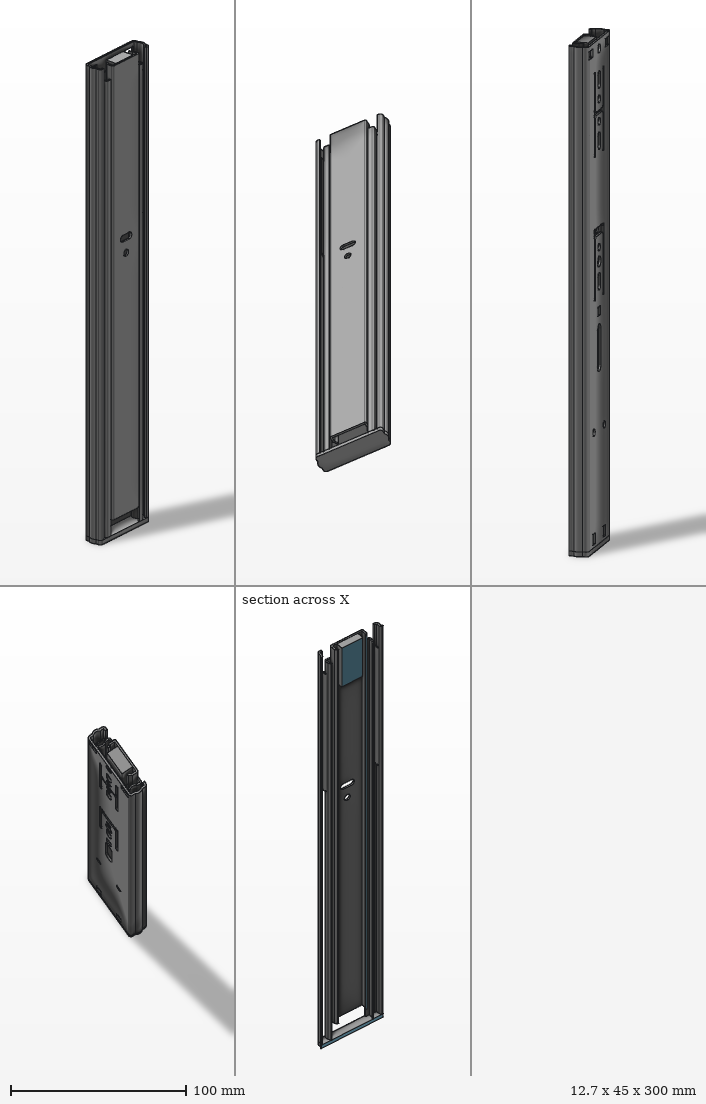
import cadquery as cq
import math

LENGTH = 300.0
WIDTH = 45.0
OUTER_DEPTH = 12.0
INNER_PROUD = 0.7
DEPTH = OUTER_DEPTH + INNER_PROUD
X_BACK = -DEPTH / 2
X_FRONT = DEPTH / 2

TRACK_START = -2.85
TRACK_END = 2.0
LIP_X = X_BACK + OUTER_DEPTH

BEND_SETBACK = 1 - math.sqrt(0.5)

CAP_HEIGHT = 2.85

OUTER_SHEET = 1.35
OUTER_BEND = 1.8
OUTER_TRACK_RISE = 1.0
OUTER_HALF = WIDTH / 2 - OUTER_TRACK_RISE
OUTER_LIP_END = 18.5

CAGE_SHEET = 0.75
CAGE_FRONT = 3.5
CAGE_HALF = 19.05
CAGE_BOTTOM = 195.0
CAGE_TOP = 285.0

MIDDLE_SHEET = 1.05
MIDDLE_BEND = 1.2
MIDDLE_BACK = X_BACK + OUTER_SHEET + CAGE_SHEET
MIDDLE_HALF = 16.35
MIDDLE_TRACK_RISE = -1.2
MIDDLE_LIP_END = 12.5
MIDDLE_TOP = 291.0

INNER_SHEET = 1.2
INNER_HALF = 11.7
INNER_FLANGE_TIP = 0.0
INNER_TRACK_DROP = 1.2
INNER_TRACK_SAG = 0.25
INNER_CORNER = 1.0
INNER_BOTTOM = 12.5
INNER_TOP = 299.0

LATCH_TOP = INNER_TOP
LATCH_HEIGHT = 30.0
LATCH_BACK = -2.25
LATCH_WIDTH = 15.0

TAB_SLIT_INNER = 7.0
TAB_SLIT_OUTER = 9.3
TAB_SLIT_FLOOR = 7.8
UPPER_TAB_Z = 257.0
UPPER_TAB_LENGTH = 49.8
UPPER_BAR_HEIGHT = 2.0
LOWER_TAB_TOP = 189.5
LOWER_TAB_LENGTH = 42.0
LOWER_BAR_HEIGHT = 4.8
TAB_CHAMFER = 1.0

SCREW_DIAMETER = 4.5
SCREW_SLOT_LENGTH = 10.2
TOP_HOLE_DIAMETER = 5.0
UPPER_SCREW_CENTRE = 258.0
UPPER_SCREW_OFFSET = 6.5
UPPER_SLOT_OFFSET = 18.0
TOP_HOLE_Z = 294.3
LOWER_SLOT_Z = 157.2
LOCATING_DIAMETER = 6.3
LOCATING_Z = 169.0
LONG_SLOT_Z = 118.2
LONG_SLOT_LENGTH = 28.0

ACCESS_DIAMETER = 4.2
ACCESS_Z = 177.3
ACCESS_SLOT_Z = 187.2
ACCESS_SLOT_WIDTH = 10.0
ACCESS_SLOT_HEIGHT = 4.2

SIDE_HOLE_Y = 10.0
SIDE_HOLE_Z = 70.5
FOOT_WINDOW_WIDTH = 4.5
FOOT_WINDOW_HEIGHT = 6.3
FOOT_WINDOW_Z = 7.8
HEAD_WINDOW_INNER = 12.3
HEAD_WINDOW_OUTER = 19.5
HEAD_WINDOW_BOTTOM = 292.2
HEAD_WINDOW_TOP = 297.0

STOP_WIDTH = 4.5
STOP_BOTTOM = 137.0
STOP_TOP = 142.5
STOP_INNER_TOP = 140.7


def box(x_min, x_max, y_min, y_max, z_min, z_max):
    """Box between the given limits."""
    return cq.Workplane("XY").box(
        x_max - x_min, y_max - y_min, z_max - z_min, centered=False
    ).translate((x_min, y_min, z_min))


def hole(x_min, x_max, y, z, diameter):
    """Cylinder along X used to drill the webs."""
    return (
        cq.Workplane("YZ", origin=(x_min, y, z))
        .circle(diameter / 2)
        .extrude(x_max - x_min)
    )


def slot(x_min, x_max, z, length, width, angle):
    """Round-ended slot cutter on the centre plane: angle 90 is upright, 0 is crosswise."""
    return (
        cq.Workplane("YZ", origin=(x_min, 0, z))
        .slot2D(length, width, angle)
        .extrude(x_max - x_min)
    )


def flange_outline(back, half, bend, rise):
    """Start the outer outline of one half of a C-channel, from the centre plane to the lip."""
    middle = (TRACK_START + TRACK_END) / 2
    sag = bend * BEND_SETBACK
    return (
        cq.Workplane("XY")
        .moveTo(back, 0)
        .lineTo(back, half - bend)
        .threePointArc((back + sag, half - sag), (back + bend, half))
        .lineTo(TRACK_START, half)
        .threePointArc((middle, half + rise), (TRACK_END, half))
        .lineTo(LIP_X - bend, half)
        .threePointArc((LIP_X - sag, half - sag), (LIP_X, half - bend))
    )


def both_halves(upper_half):
    """Complete a body that is symmetric about the centre plane."""
    return upper_half.union(upper_half.mirror("XZ"))


def track_rail(back, half, sheet, bend, rise, lip_end, z_max):
    """Folded C-channel standing on the cap, with arched ball tracks and turned-in lips."""
    middle = (TRACK_START + TRACK_END) / 2
    inside = half - sheet
    upper_half = (
        flange_outline(back, half, bend, rise)
        .lineTo(LIP_X, lip_end)
        .lineTo(LIP_X - sheet, lip_end)
        .lineTo(LIP_X - sheet, inside)
        .lineTo(TRACK_END, inside)
        .threePointArc((middle, inside + rise), (TRACK_START, inside))
        .lineTo(back + sheet, inside)
        .lineTo(back + sheet, 0)
        .close()
        .extrude(z_max - CAP_HEIGHT)
        .translate((0, 0, CAP_HEIGHT))
    )
    return both_halves(upper_half)


def make_cap():
    """Solid plate with the outer rail's outline."""
    upper_half = (
        flange_outline(X_BACK, OUTER_HALF, OUTER_BEND, OUTER_TRACK_RISE)
        .lineTo(LIP_X, 0)
        .close()
        .extrude(CAP_HEIGHT)
    )
    return both_halves(upper_half)


def tab_slit(side, z_min, z_max):
    """Round-ended slit beside a tab, with a sloped outer wall; side is +1 or -1 along Y."""
    inner_face = X_BACK + OUTER_SHEET
    wedge = (
        cq.Workplane("XY", origin=(0, 0, z_min))
        .polyline([
            (X_BACK, side * TAB_SLIT_INNER),
            (X_BACK, side * TAB_SLIT_OUTER),
            (inner_face, side * TAB_SLIT_FLOOR),
            (inner_face, side * TAB_SLIT_INNER),
        ])
        .close()
        .extrude(z_max - z_min)
    )
    width = TAB_SLIT_OUTER - TAB_SLIT_INNER
    centre_y = side * (TAB_SLIT_OUTER + TAB_SLIT_INNER) / 2
    rounded = slot(X_BACK, inner_face, (z_min + z_max) / 2, z_max - z_min, width, 90)
    return wedge.intersect(rounded.translate((0, centre_y, 0)))


def tab_bar(z_min, z_max):
    """Cross cut that frees a tab's end between its slits, with the tab corners chamfered."""
    chamfer_y = TAB_SLIT_INNER - TAB_CHAMFER
    return (
        cq.Workplane("YZ", origin=(X_BACK, 0, 0))
        .polyline([
            (-TAB_SLIT_INNER, z_max),
            (TAB_SLIT_INNER, z_max),
            (TAB_SLIT_INNER, z_min - TAB_CHAMFER),
            (chamfer_y, z_min),
            (-chamfer_y, z_min),
            (-TAB_SLIT_INNER, z_min - TAB_CHAMFER),
        ])
        .close()
        .extrude(OUTER_SHEET)
    )


def stop_window():
    """Square opening in the outer web whose top wall slopes down towards the inside."""
    inner_face = X_BACK + OUTER_SHEET
    return (
        cq.Workplane("XZ", origin=(0, STOP_WIDTH / 2, 0))
        .polyline([
            (X_BACK, STOP_BOTTOM),
            (X_BACK, STOP_TOP),
            (inner_face, STOP_INNER_TOP),
            (inner_face, STOP_BOTTOM),
        ])
        .close()
        .extrude(STOP_WIDTH)
    )


def make_outer_rail():
    """Wall-side rail with all its mounting openings."""
    rail = track_rail(
        X_BACK, OUTER_HALF, OUTER_SHEET, OUTER_BEND, OUTER_TRACK_RISE, OUTER_LIP_END, LENGTH
    )
    web = (X_BACK, X_BACK + OUTER_SHEET)

    upper_bottom = UPPER_TAB_Z - UPPER_TAB_LENGTH / 2
    upper_top = UPPER_TAB_Z + UPPER_TAB_LENGTH / 2
    for side in (-1, 1):
        rail = rail.cut(tab_slit(side, upper_bottom, upper_top))
        rail = rail.cut(tab_slit(side, LOWER_TAB_TOP - LOWER_TAB_LENGTH, LOWER_TAB_TOP))
    bar_half = UPPER_BAR_HEIGHT / 2
    upper_bar = tab_bar(-bar_half, bar_half)
    upper_bar = upper_bar.union(upper_bar.mirror("XY"))
    rail = rail.cut(upper_bar.translate((0, 0, UPPER_TAB_Z)))
    rail = rail.cut(tab_bar(LOWER_TAB_TOP - LOWER_BAR_HEIGHT, LOWER_TAB_TOP))

    for direction in (-1, 1):
        screw_z = UPPER_SCREW_CENTRE + direction * UPPER_SCREW_OFFSET
        slot_z = UPPER_SCREW_CENTRE + direction * UPPER_SLOT_OFFSET
        rail = rail.cut(hole(*web, 0, screw_z, SCREW_DIAMETER))
        rail = rail.cut(slot(*web, slot_z, SCREW_SLOT_LENGTH, SCREW_DIAMETER, 90))
    rail = rail.cut(hole(*web, 0, TOP_HOLE_Z, TOP_HOLE_DIAMETER))
    rail = rail.cut(hole(*web, 0, ACCESS_Z, ACCESS_DIAMETER))
    rail = rail.cut(hole(*web, 0, LOCATING_Z, LOCATING_DIAMETER))
    rail = rail.cut(slot(*web, LOWER_SLOT_Z, SCREW_SLOT_LENGTH, SCREW_DIAMETER, 90))
    rail = rail.cut(slot(*web, LONG_SLOT_Z, LONG_SLOT_LENGTH, LOCATING_DIAMETER, 90))
    rail = rail.cut(stop_window())

    foot_bottom = FOOT_WINDOW_Z - FOOT_WINDOW_HEIGHT / 2
    foot_top = FOOT_WINDOW_Z + FOOT_WINDOW_HEIGHT / 2
    foot_inner = SIDE_HOLE_Y - FOOT_WINDOW_WIDTH / 2
    foot_outer = SIDE_HOLE_Y + FOOT_WINDOW_WIDTH / 2
    foot = box(*web, foot_inner, foot_outer, foot_bottom, foot_top)
    head = box(*web, HEAD_WINDOW_INNER, HEAD_WINDOW_OUTER, HEAD_WINDOW_BOTTOM, HEAD_WINDOW_TOP)
    side_hole = hole(*web, SIDE_HOLE_Y, SIDE_HOLE_Z, ACCESS_DIAMETER)
    for opening in (foot, head, side_hole):
        rail = rail.cut(opening).cut(opening.mirror("XZ"))
    return rail


def cut_access(rail, x_min, x_max):
    """Cut the screwdriver hole and the cross slot that line up through the rails."""
    rail = rail.cut(hole(x_min, x_max, 0, ACCESS_Z, ACCESS_DIAMETER))
    return rail.cut(slot(x_min, x_max, ACCESS_SLOT_Z, ACCESS_SLOT_WIDTH, ACCESS_SLOT_HEIGHT, 0))


def make_middle_rail():
    """Rail nested in the outer one, with side holes behind those of the outer web."""
    rail = track_rail(
        MIDDLE_BACK, MIDDLE_HALF, MIDDLE_SHEET, MIDDLE_BEND,
        MIDDLE_TRACK_RISE, MIDDLE_LIP_END, MIDDLE_TOP,
    )
    web = (MIDDLE_BACK, MIDDLE_BACK + MIDDLE_SHEET)
    for side in (-1, 1):
        rail = rail.cut(hole(*web, side * SIDE_HOLE_Y, SIDE_HOLE_Z, ACCESS_DIAMETER))
    return cut_access(rail, *web)


def make_inner_rail():
    """U-channel facing the other webs, whose flange tips curve inward as ball tracks."""
    inside = INNER_HALF - INNER_SHEET
    web_face = X_FRONT - INNER_SHEET
    corner = INNER_CORNER
    sag = corner * BEND_SETBACK
    mid_x = (INNER_FLANGE_TIP + TRACK_END) / 2
    mid_drop = INNER_TRACK_DROP / 2 + INNER_TRACK_SAG
    upper_half = (
        cq.Workplane("XY", origin=(0, 0, INNER_BOTTOM))
        .moveTo(X_FRONT, 0)
        .lineTo(X_FRONT, INNER_HALF - corner)
        .threePointArc((X_FRONT - sag, INNER_HALF - sag), (X_FRONT - corner, INNER_HALF))
        .lineTo(TRACK_END, INNER_HALF)
        .threePointArc(
            (mid_x, INNER_HALF - mid_drop), (INNER_FLANGE_TIP, INNER_HALF - INNER_TRACK_DROP)
        )
        .lineTo(INNER_FLANGE_TIP, inside - INNER_TRACK_DROP)
        .threePointArc((mid_x, inside - mid_drop), (TRACK_END, inside))
        .lineTo(web_face, inside)
        .lineTo(web_face, 0)
        .close()
        .extrude(INNER_TOP - INNER_BOTTOM)
    )
    return cut_access(both_halves(upper_half), web_face, X_FRONT)


def make_ball_cage():
    """U-shaped ball cage between the outer and middle rails: a thin web with two arms."""
    back = X_BACK + OUTER_SHEET
    body = box(back, CAGE_FRONT, -CAGE_HALF, CAGE_HALF, CAGE_BOTTOM, CAGE_TOP)
    inside = CAGE_HALF - CAGE_SHEET
    return body.cut(box(MIDDLE_BACK, CAGE_FRONT, -inside, inside, CAGE_BOTTOM, CAGE_TOP))


def make_latch():
    """Block lying against the inner rail's web."""
    half = LATCH_WIDTH / 2
    front = X_FRONT - INNER_SHEET
    return box(LATCH_BACK, front, -half, half, LATCH_TOP - LATCH_HEIGHT, LATCH_TOP)


cap = make_cap()
outer_rail = make_outer_rail()
middle_rail = make_middle_rail()
inner_rail = make_inner_rail()
ball_cage = make_ball_cage()
latch = make_latch()

result = cq.Compound.makeCompound([
    cap.val(),
    outer_rail.val(),
    middle_rail.val(),
    inner_rail.val(),
    ball_cage.val(),
    latch.val(),
])